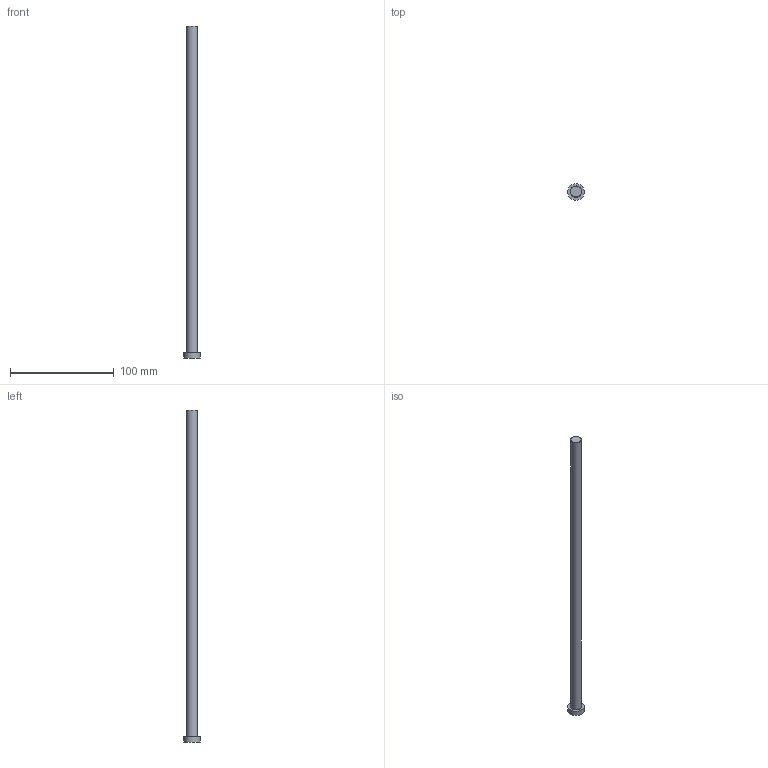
import cadquery as cq

total_length = 320.0
head_diameter = 16.0
head_height = 5.0
shank_diameter = 10.5

shank_length = total_length - head_height

head = cq.Workplane("XY").circle(head_diameter / 2).extrude(head_height)

result = head.faces(">Z").workplane().circle(shank_diameter / 2).extrude(shank_length)